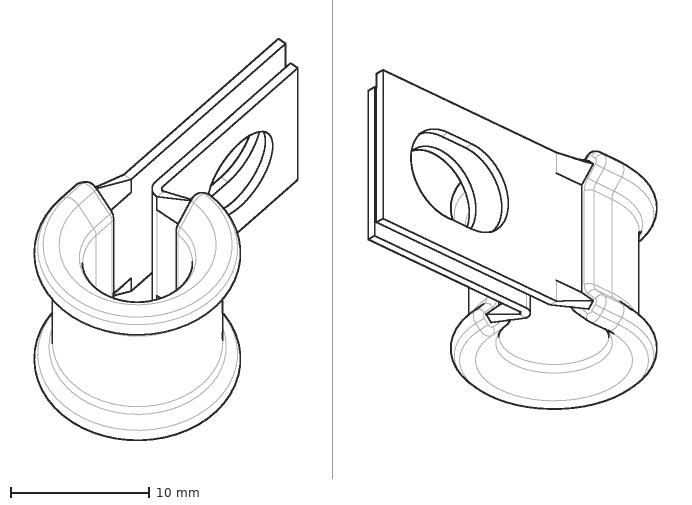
import cadquery as cq
import math


bore_radius = 3.98
wall = 2.2
barrel_radius = bore_radius + wall
flare_angle = math.radians(45)
flare_start_z = 4.3
flare_reach = 1.65
corner_radius = 0.82
end_rounding = 0.5
ring_sweep = 270
straight_length = 2.25

strap_thickness = 0.7
mid_radius = bore_radius + wall / 2
strap_inner_radius = mid_radius - strap_thickness / 2
strap_outer_radius = strap_inner_radius + strap_thickness
strap_half_height = 6.3
strap_bend_z = 4.54
fold_length = 2.5

overall_length = 29.25
rim_radius = barrel_radius + flare_reach - corner_radius * (math.sqrt(2) - 1)
outer_tab_end_y = overall_length - rim_radius
inner_tab_setback = 1.17
inner_tab_end_y = outer_tab_end_y - inner_tab_setback
inner_tab_x = -3.25
tab_bend_radius = 0.3
bend_outer_radius = tab_bend_radius + strap_thickness
bend_end_x = inner_tab_x + bend_outer_radius

hole_y = 14.25
hole_diameter = 7.2
slot_length = 9.57


def mirrored_outline(upper_points):
    """Close an upper half outline with its mirror image below Z = 0."""
    return upper_points + [(u, -z) for u, z in reversed(upper_points)]


def miter_rise(thickness):
    """Height of the inner bend of a flared sheet above its outer bend."""
    return thickness * math.tan(flare_angle / 2)


def flared_outline(inner, thickness, bend_z, length, angle):
    """Section of an upright sheet whose edges tilt outward by the angle."""
    across = (thickness * math.cos(angle), thickness * math.sin(angle))
    outer_edge = (
        inner + thickness + length * math.sin(angle),
        bend_z + length * math.cos(angle),
    )
    inner_edge = (outer_edge[0] - across[0], outer_edge[1] + across[1])
    return mirrored_outline([
        (inner, bend_z + miter_rise(thickness)),
        inner_edge,
        outer_edge,
        (inner + thickness, bend_z),
    ])


def make_ring():
    """Flared ring with a short straight run at -X and both ends rounded."""
    flare_length = flare_reach / math.sin(flare_angle)
    outline = flared_outline(bore_radius, wall, flare_start_z, flare_length, flare_angle)
    profile = (
        cq.Sketch()
        .polygon(outline + outline[:1])
        .vertices()
        .fillet(corner_radius)
    )
    section = cq.Workplane(cq.Plane((0, 0, 0), xDir=(-1, 0, 0), normal=(0, 1, 0)))
    straight = section.placeSketch(profile).extrude(straight_length)
    curved = section.placeSketch(profile).revolve(ring_sweep, (0, 0, 0), (0, 1, 0))
    ring = straight.union(curved)
    for end_point in ((-mid_radius, straight_length, 0), (0, mid_radius, 0)):
        end_face = ring.faces(cq.selectors.NearestToPointSelector(end_point))
        ring = end_face.edges().fillet(end_rounding)
    return ring


def make_fold(origin, outward, direction, length):
    """Strap length whose edges tilt from the flared end into a flat strip."""
    edge_length = strap_half_height - strap_bend_z
    sections = [
        flared_outline(strap_inner_radius, strap_thickness, strap_bend_z, edge_length, angle)
        for angle in (flare_angle, 0)
    ]
    return (
        cq.Workplane(cq.Plane(origin, xDir=outward, normal=direction))
        .polyline(sections[0]).close()
        .workplane(offset=length)
        .polyline(sections[1]).close()
        .loft(ruled=True)
    )


def make_plate(start, end):
    """Full-height plate between two opposite corners in the XY plane."""
    size = (end[0] - start[0], end[1] - start[1])
    return (
        cq.Workplane(origin=(*start, -strap_half_height))
        .rect(*size, centered=False)
        .extrude(2 * strap_half_height)
    )


def make_outer_tab():
    """Straight tab tangent to the ring at -X, with a slot along Y."""
    fold_end_y = straight_length + fold_length
    fold = make_fold((0, straight_length, 0), (-1, 0, 0), (0, 1, 0), fold_length)
    plate = make_plate((-strap_outer_radius, fold_end_y), (-strap_inner_radius, outer_tab_end_y))
    slot = (
        cq.Workplane("YZ", origin=(-mid_radius, hole_y, 0))
        .slot2D(slot_length, hole_diameter)
        .extrude(strap_thickness, both=True)
    )
    return fold.union(plate.cut(slot))


def make_inner_tab():
    """Tab that leaves the ring at +Y along -X and bends up to +Y, with a round hole."""
    fold = make_fold((0, 0, 0), (0, 1, 0), (-1, 0, 0), -bend_end_x)
    bend_center_y = strap_inner_radius + bend_outer_radius
    plate = make_plate((inner_tab_x, bend_center_y), (inner_tab_x + strap_thickness, inner_tab_end_y))
    bend = (
        cq.Workplane(origin=(bend_end_x, strap_outer_radius, -strap_half_height))
        .lineTo(0, -strap_thickness)
        .radiusArc((-bend_outer_radius, bend_outer_radius - strap_thickness), bend_outer_radius)
        .line(strap_thickness, 0)
        .radiusArc((0, 0), -tab_bend_radius)
        .close()
        .extrude(2 * strap_half_height)
    )
    hole = (
        cq.Workplane("YZ", origin=(inner_tab_x, hole_y, 0))
        .circle(hole_diameter / 2)
        .extrude(strap_thickness)
    )
    return fold.union(bend).union(plate.cut(hole))


result = make_ring().union(make_outer_tab()).union(make_inner_tab())